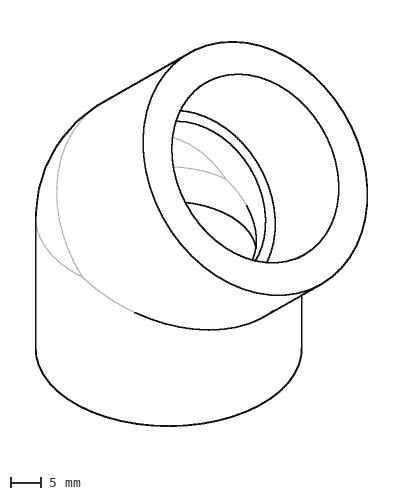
import cadquery as cq

outer_diameter = 43.0
socket_diameter = 32.0
bore_diameter = 28.3
leg_length = 26.0
step_distance = 6.9
bend_angle = 45


def leg_cylinder(diameter, start, end):
    """Cylinder along the lower leg, between two distances from the bend centre."""
    return cq.Workplane("XY").workplane(offset=-end).circle(diameter / 2).extrude(end - start)


def upper_leg(lower_shape):
    """Turn a lower-leg shape about the bend centre into the upper leg."""
    return lower_shape.rotate((0, 0, 0), (0, 1, 0), 180 + bend_angle)


def bent_pipe(diameter):
    """Two cylinders joined by a sphere at the bend centre."""
    leg = leg_cylinder(diameter, 0, leg_length)
    ball = cq.Workplane("XY").sphere(diameter / 2)
    return leg.union(upper_leg(leg)).union(ball)


body = bent_pipe(outer_diameter)
passage = bent_pipe(bore_diameter)
socket = leg_cylinder(socket_diameter, step_distance, leg_length)

result = body.cut(passage).cut(socket).cut(upper_leg(socket))